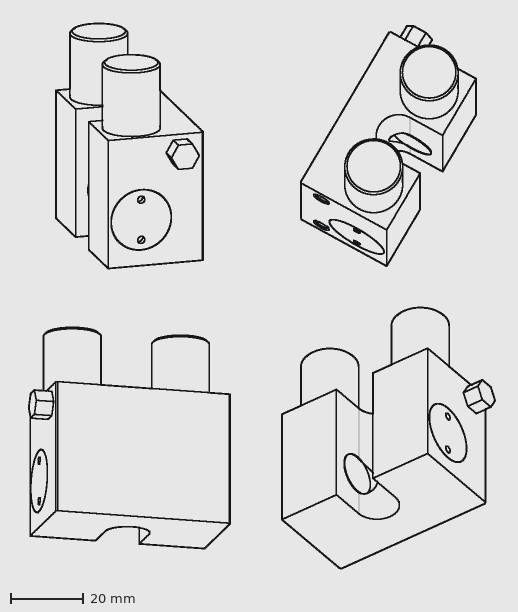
import cadquery as cq
import math

total_height = 56.0

block_width = 50.0
block_depth = 27.5
block_height = 37.0
rear_chamfer = 0.4

slot_width = 12.5
slot_depth = 16.65

post_diameter = 16.0
post_height = total_height - block_height
post_chamfer = 0.6
arm_axis_y = 9.5
post_spacing = 31.0

piston_diameter = 12.0
piston_protrusion = 0.2
piston_overlap = 0.55
piston_z = 13.3

cover_bore_diameter = 17.5
cover_diameter = 17.3
cover_gap_depth = 1.0
pin_hole_diameter = 2.0
pin_hole_depth = 2.0
pin_hole_spacing = 11.6
drill_point_angle = 118.0

port_y = 20.8
upper_port_z = 32.0
lower_port_z = 5.1
port_diameter = 4.15
port_countersink = 0.4
port_depth = 10.0

hex_across_flats = 7.0
hex_length = 5.0

side_x = block_width / 2


def x_cylinder(x_start, x_end, y, z, diameter):
    """Cylinder along X between two X positions."""
    return (
        cq.Workplane("YZ", origin=(x_start, y, z))
        .circle(diameter / 2)
        .extrude(x_end - x_start)
    )


def make_block():
    block = cq.Workplane("XY").box(block_width, block_depth, block_height, centered=(True, False, False))
    block = block.edges("|Z and >Y").chamfer(rear_chamfer)
    half_width = slot_width / 2
    slot = (
        cq.Workplane("XY")
        .moveTo(-half_width, 0)
        .lineTo(-half_width, slot_depth - half_width)
        .threePointArc((0, slot_depth), (half_width, slot_depth - half_width))
        .lineTo(half_width, 0)
        .close()
        .extrude(block_height)
    )
    return block.cut(slot)


def make_posts():
    return (
        cq.Workplane("XY", origin=(0, arm_axis_y, block_height))
        .pushPoints([(-post_spacing / 2, 0), (post_spacing / 2, 0)])
        .circle(post_diameter / 2)
        .extrude(post_height)
        .faces(">Z")
        .edges()
        .chamfer(post_chamfer)
    )


def make_piston_bore():
    """Bore between the arms, which also cuts into the round end of the slot."""
    return x_cylinder(-slot_width / 2, slot_width / 2, arm_axis_y, piston_z, piston_diameter)


def make_left_piston():
    wall_x = -slot_width / 2
    embedded_x = wall_x - piston_overlap
    tip_x = wall_x + piston_protrusion
    return x_cylinder(embedded_x, tip_x, arm_axis_y, piston_z, piston_diameter)


def make_left_pin_hole(z):
    """Blind hole with a conical drill point, entering from the left side."""
    radius = pin_hole_diameter / 2
    point_length = radius / math.tan(math.radians(drill_point_angle / 2))
    return (
        cq.Workplane("XY", origin=(-side_x, arm_axis_y, z))
        .polyline([(0, 0), (0, radius), (pin_hole_depth, radius), (pin_hole_depth + point_length, 0)])
        .close()
        .revolve(360, (0, 0), (1, 0))
    )


def make_left_cover_cuts():
    """Thin ring gap around the cover and the two pin holes in its face."""
    gap_end_x = -side_x + cover_gap_depth
    cuts = x_cylinder(-side_x, gap_end_x, arm_axis_y, piston_z, cover_bore_diameter)
    cuts = cuts.cut(x_cylinder(-side_x, gap_end_x, arm_axis_y, piston_z, cover_diameter))
    for direction in (-1, 1):
        cuts = cuts.union(make_left_pin_hole(piston_z + direction * pin_hole_spacing / 2))
    return cuts


def make_port(z):
    """Blind port with a 45 degree countersink, entering from the left side."""
    radius = port_diameter / 2
    return (
        cq.Workplane("XY", origin=(-side_x, port_y, z))
        .moveTo(0, 0)
        .lineTo(0, radius + port_countersink)
        .lineTo(port_countersink, radius)
        .lineTo(port_depth, radius)
        .lineTo(port_depth, 0)
        .close()
        .revolve(360, (0, 0), (1, 0))
    )


def make_hex_plug():
    across_corners = hex_across_flats / math.cos(math.pi / 6)
    return (
        cq.Workplane("YZ", origin=(side_x, port_y, upper_port_z))
        .polygon(6, across_corners)
        .extrude(hex_length)
    )


left_cover_cuts = make_left_cover_cuts()
left_piston = make_left_piston()

result = make_block().cut(make_piston_bore())
result = result.union(left_piston).union(left_piston.mirror("YZ"))
result = result.cut(left_cover_cuts).cut(left_cover_cuts.mirror("YZ"))
for port_z in (lower_port_z, upper_port_z):
    result = result.cut(make_port(port_z))
result = result.union(make_posts()).union(make_hex_plug())